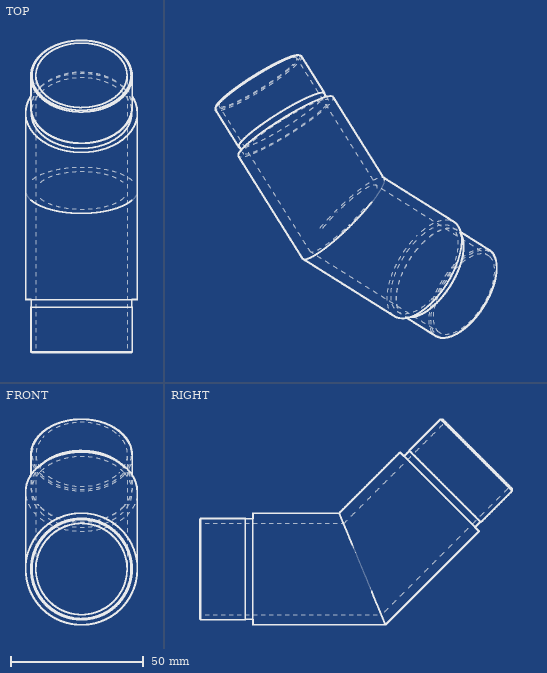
import cadquery as cq
import math

bend_angle = 45.0
sleeve_diameter = 42.2
spigot_diameter = 38.3
relief_diameter = 37.9
bore_diameter = 34.4

arm_length = 61.2
spigot_length = 20.0
relief_width = 2.8
end_chamfer = 0.5

sleeve_length = arm_length - spigot_length
relief_end = sleeve_length + relief_width

mitre_overlap = sleeve_diameter * math.tan(math.radians(bend_angle / 2))
mitre_block_size = 3 * arm_length


def arm_profile():
    """Half section of one arm, with radius along X and arm axis along -Y."""
    bore_radius = bore_diameter / 2
    sleeve_radius = sleeve_diameter / 2
    relief_radius = relief_diameter / 2
    spigot_radius = spigot_diameter / 2
    return (
        cq.Workplane("XY")
        .moveTo(bore_radius, mitre_overlap)
        .lineTo(sleeve_radius, mitre_overlap)
        .lineTo(sleeve_radius, -sleeve_length)
        .lineTo(relief_radius, -sleeve_length)
        .lineTo(relief_radius, -relief_end)
        .lineTo(spigot_radius, -relief_end)
        .lineTo(spigot_radius, -arm_length + end_chamfer)
        .lineTo(spigot_radius - end_chamfer, -arm_length)
        .lineTo(bore_radius, -arm_length)
        .close()
    )


def mitred_arm():
    """Hollow arm along -Y, trimmed at the plane that halves the bend."""
    arm = arm_profile().revolve(360, (0, 0, 0), (0, 1, 0))
    kept_side = (
        cq.Workplane("XY")
        .box(mitre_block_size, mitre_block_size, mitre_block_size)
        .translate((0, -mitre_block_size / 2, 0))
        .rotate((0, 0, 0), (1, 0, 0), bend_angle / 2)
    )
    return arm.intersect(kept_side)


level_arm = mitred_arm()

raised_arm = level_arm.mirror("XZ").rotate((0, 0, 0), (1, 0, 0), bend_angle)

result = level_arm.union(raised_arm)